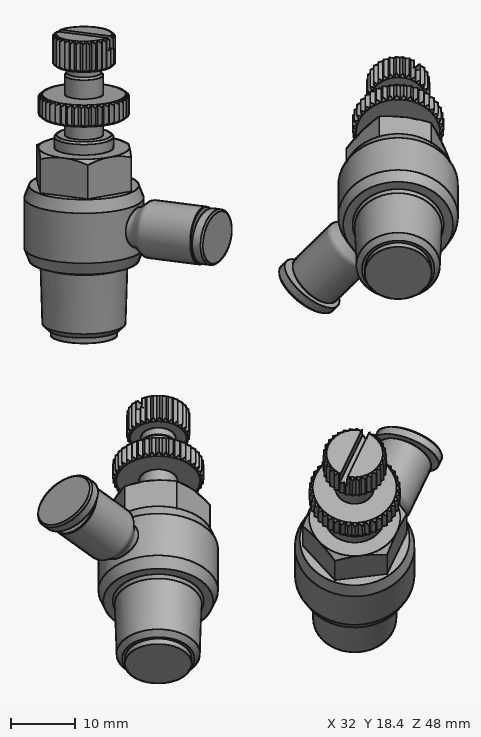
import cadquery as cq
import math

overall_height = 48.0
tip_top = 1.0
lead_chamfer_top = 1.85
thread_top = 11.35
body_bottom = 11.95
body_top = 23.85
hex_top = 29.9
collar_top = 31.9
nut_bottom = 34.9
nut_top = 38.4
stem_shoulder = 41.4
neck_bottom = 41.8
head_bottom = 43.05

tip_radius = 5.15
lead_radius = 5.55
thread_small_radius = 6.45
thread_large_radius = 6.7
flare_radius = 7.0

body_radius = 9.2
body_end_radius = 8.45
body_chamfer_height = 1.95

hex_flats = 14.0
hex_corner_radius = hex_flats / 2 / math.cos(math.radians(30))
hex_turning_angle = 30.0

collar_radius = 4.55
collar_chamfer = 0.35
stem_radius = 3.0
neck_radius = 2.7

nut_tip_radius = 7.0
nut_root_radius = 6.45
nut_teeth = 40
head_tip_radius = 4.85
head_root_radius = 4.3
head_teeth = 30
knurl_chamfer_height = 0.45
slot_width = 1.2
slot_depth = 1.9

arm_height = 18.25
arm_neck_radius = 3.15
arm_radius = 4.5
cone_start = 9.6
cone_end = 11.4
cone_blend_radius = 0.9
arm_end = 20.4
arm_end_chamfer = 0.1
release_neck_radius = 2.8
release_start = 21.1
release_end = 22.8
release_half_width = 5.4
release_half_height = 4.25
release_chamfer = 0.3


def cylinder(radius, bottom, top):
    """Upright cylinder on the main axis."""
    return cq.Workplane("XY").workplane(offset=bottom).circle(radius).extrude(top - bottom)


def turned(profile):
    """Revolve a closed list of (radius, height) points about the main axis."""
    return cq.Workplane("XZ").polyline(profile).close().revolve(360, (0, 0, 0), (0, 1, 0))


def threaded_end_and_body():
    return turned([
        (0, 0),
        (tip_radius, 0),
        (tip_radius, tip_top),
        (lead_radius, tip_top),
        (thread_small_radius, lead_chamfer_top),
        (thread_large_radius, thread_top),
        (flare_radius, body_bottom),
        (body_end_radius, body_bottom),
        (body_radius, body_bottom + body_chamfer_height),
        (body_radius, body_top - body_chamfer_height),
        (body_end_radius, body_top),
        (0, body_top),
    ])


def hexagon():
    prism = (
        cq.Workplane("XY").workplane(offset=body_top)
        .polygon(6, 2 * hex_corner_radius)
        .extrude(hex_top - body_top)
    )
    flat_radius = hex_flats / 2
    outer_radius = hex_corner_radius + 0.5
    drop = (outer_radius - flat_radius) * math.tan(math.radians(hex_turning_angle))
    envelope = turned([
        (0, body_top),
        (outer_radius, body_top),
        (outer_radius, hex_top - drop),
        (flat_radius, hex_top),
        (0, hex_top),
    ])
    return prism.intersect(envelope)


def stem():
    collar = cylinder(collar_radius, hex_top, collar_top).faces(">Z").edges().chamfer(collar_chamfer)
    spindle = turned([
        (0, hex_top),
        (stem_radius, hex_top),
        (stem_radius, stem_shoulder),
        (neck_radius, neck_bottom),
        (neck_radius, head_bottom),
        (0, head_bottom),
    ])
    return collar.union(spindle)


def knurled_disc(tip_radius, root_radius, teeth, bottom, top):
    """Disc with pointed teeth, a valley on the +X axis, chamfered down to the roots at both ends."""
    outline = []
    for half_step in range(2 * teeth):
        radius = tip_radius if half_step % 2 else root_radius
        angle = half_step * math.pi / teeth
        outline.append((radius * math.cos(angle), radius * math.sin(angle)))
    disc = cq.Workplane("XY").workplane(offset=bottom).polyline(outline).close().extrude(top - bottom)
    envelope = turned([
        (0, bottom),
        (root_radius, bottom),
        (tip_radius, bottom + knurl_chamfer_height),
        (tip_radius, top - knurl_chamfer_height),
        (root_radius, top),
        (0, top),
    ])
    return disc.intersect(envelope)


def slotted_head():
    head = knurled_disc(head_tip_radius, head_root_radius, head_teeth, head_bottom, overall_height)
    slot = (
        cq.Workplane("XY").workplane(offset=overall_height - slot_depth)
        .rect(3 * head_tip_radius, slot_width)
        .extrude(slot_depth)
    )
    return head.cut(slot)


def arm_plane(x):
    """Plane across the arm at distance x, with its local X along Y."""
    return cq.Workplane("YZ", origin=(x, 0, arm_height))


def side_arm():
    profile = [
        (0, arm_height),
        (0, arm_height + arm_neck_radius),
        (cone_start, arm_height + arm_neck_radius),
        (cone_end, arm_height + arm_radius),
        (arm_end, arm_height + arm_radius),
        (arm_end, arm_height),
    ]
    shank = (
        cq.Workplane("XZ").polyline(profile).close()
        .revolve(360, (0, arm_height, 0), (1, arm_height, 0))
    )
    shank = shank.faces(">X").edges().chamfer(arm_end_chamfer)
    for x in (cone_start, cone_end):
        corner = cq.selectors.NearestToPointSelector((x, 0, arm_height))
        shank = shank.edges("%CIRCLE").edges(corner).fillet(cone_blend_radius)

    release_neck = arm_plane(arm_end).circle(release_neck_radius).extrude(release_start - arm_end)
    release_collar = (
        arm_plane(release_start)
        .ellipse(release_half_width, release_half_height)
        .extrude(release_end - release_start)
        .faces(">X").edges().chamfer(release_chamfer)
    )
    return shank.union(release_neck).union(release_collar)


lock_nut = knurled_disc(nut_tip_radius, nut_root_radius, nut_teeth, nut_bottom, nut_top)

result = (
    threaded_end_and_body()
    .union(hexagon())
    .union(stem())
    .union(lock_nut)
    .union(slotted_head())
    .union(side_arm())
)